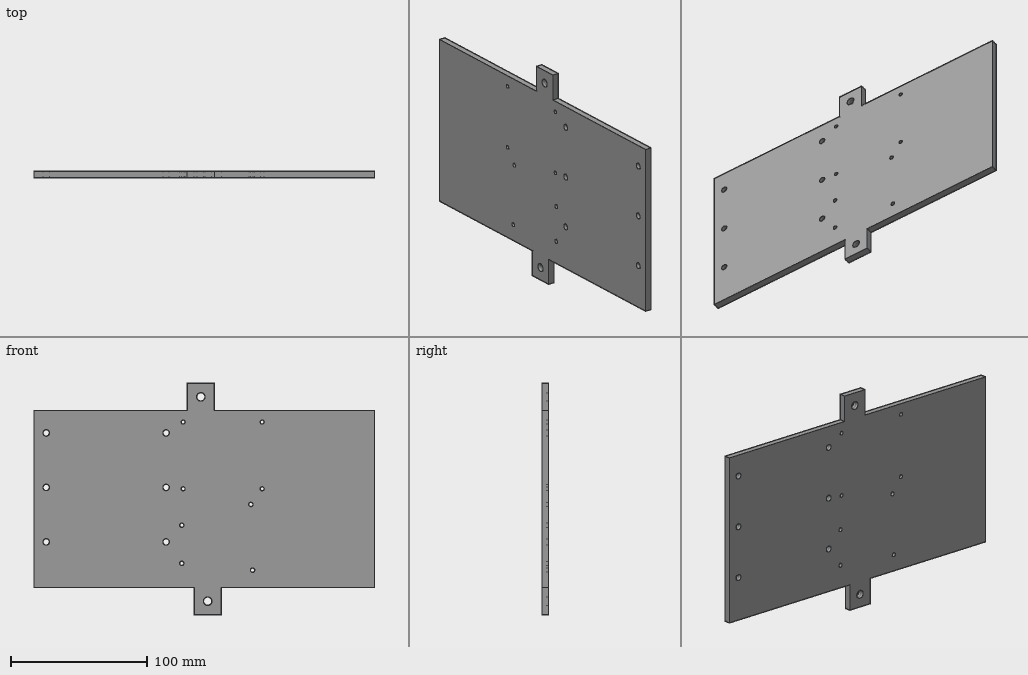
import cadquery as cq

plate_length = 250.0
plate_height = 130.0
thickness = 5.0

tab_size = 20.0
upper_tab_x = 122.5
lower_tab_x = 127.5
tab_hole_diameter = 6.0

column_xs = (9.0, 97.0)
column_middle_z = 73.5
column_pitch = 40.0
column_hole_diameter = 4.5

small_left_x = 109.5
small_bottom_z = 72.5
small_pitch_x = 58.0
small_pitch_z = 49.0
small_hole_diameter = 2.8

board_left_x = 108.5
board_bottom_z = 17.8
board_left_pitch = 28.0
board_span_x = 50.8
board_corner_shift = 1.2
board_upper_rise = 15.2
board_lower_drop = 5.0
board_hole_diameter = 3.0


def block(center_x, center_z, length, height):
    """Full-thickness block centred on the plate's middle plane."""
    return cq.Workplane("XY").box(length, thickness, height).translate((center_x, 0, center_z))


def drill(body, points, diameter):
    """Cut through holes along Y at the given (x, z) points."""
    cutters = (
        cq.Workplane("XZ")
        .pushPoints(points)
        .circle(diameter / 2)
        .extrude(thickness, both=True)
    )
    return body.cut(cutters)


upper_tab_z = plate_height + tab_size / 2
lower_tab_z = -tab_size / 2
tab_centers = [(upper_tab_x, upper_tab_z), (lower_tab_x, lower_tab_z)]

result = block(plate_length / 2, plate_height / 2, plate_length, plate_height)
for x, z in tab_centers:
    result = result.union(block(x, z, tab_size, tab_size))

result = drill(result, tab_centers, tab_hole_diameter)

column_points = [
    (x, column_middle_z + row * column_pitch)
    for x in column_xs
    for row in (-1, 0, 1)
]
result = drill(result, column_points, column_hole_diameter)

small_points = [
    (small_left_x + column * small_pitch_x, small_bottom_z + row * small_pitch_z)
    for column in (0, 1)
    for row in (0, 1)
]
result = drill(result, small_points, small_hole_diameter)

board_left_top_z = board_bottom_z + board_left_pitch
board_right_x = board_left_x + board_span_x
board_points = [
    (board_left_x, board_bottom_z),
    (board_left_x, board_left_top_z),
    (board_right_x, board_left_top_z + board_upper_rise),
    (board_right_x + board_corner_shift, board_bottom_z - board_lower_drop),
]
result = drill(result, board_points, board_hole_diameter)